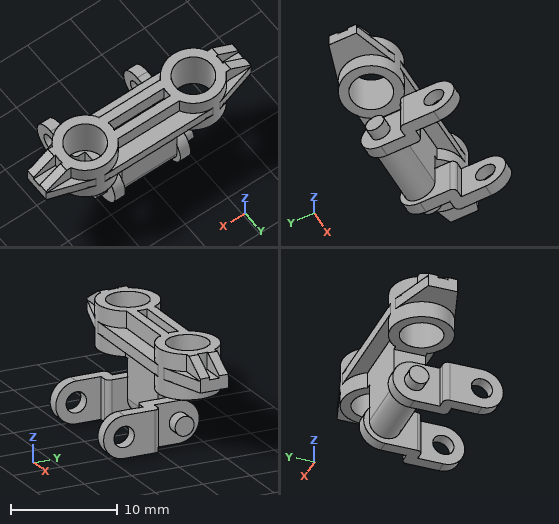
import cadquery as cq
import math


BOSS_X = 6.34
BOSS_RADIUS = 3.12
BORE_DIAMETER = 4.2
BOSS_BOTTOM = 6.25
TOP = 10.85

TIP_X = 12.0
FLANGE_BOTTOM = 7.95
FLANGE_TOP = 9.12
RIB_WIDTH = 2.98
TIP_TOP = 9.35
SLOPE_LENGTH = 2.4
GROOVE_WIDTH = 1.0
CENTER_SLOT_LENGTH = 6.62

POST_LENGTH = 6.43
POST_THICKNESS = 3.2

ARM_HEIGHT = 4.35
ARM_RADIUS = ARM_HEIGHT / 2
PIVOT_Z = ARM_RADIUS
TOTAL_DEPTH = 11.65
HOLE_Y = BOSS_RADIUS - TOTAL_DEPTH + ARM_RADIUS
HOLE_DIAMETER = 2.1
PIN_DIAMETER = 2.0
ARM_INNER_X = POST_LENGTH / 2
ARM_MIDDLE_X = 4.45
ARM_OUTER_X = 5.7
STEP_BACK_Y = -2.57
STEP_FRONT_Y = -3.77
STEP_ROUND = 0.53


def box(x_size, y_size, z_low, z_high):
    """Block centred in X and Y between two heights."""
    plane = cq.Workplane("XY").workplane(offset=z_low)
    return plane.rect(x_size, y_size).extrude(z_high - z_low)


def boss_cylinders(diameter):
    """Pair of upright cylinders at the boss positions."""
    plane = cq.Workplane("XY").workplane(offset=BOSS_BOTTOM)
    points = [(-BOSS_X, 0), (BOSS_X, 0)]
    return plane.pushPoints(points).circle(diameter / 2).extrude(TOP - BOSS_BOTTOM)


def flange():
    """Flat plate whose tapered ends are tangent to the bosses."""
    tip_dx = TIP_X - BOSS_X
    tip_y = RIB_WIDTH / 2
    tangent_angle = math.atan2(tip_y, tip_dx) + math.acos(BOSS_RADIUS / math.hypot(tip_dx, tip_y))
    tangent_x = BOSS_X + BOSS_RADIUS * math.cos(tangent_angle)
    tangent_y = BOSS_RADIUS * math.sin(tangent_angle)
    tapered = (
        cq.Workplane("XY").workplane(offset=FLANGE_BOTTOM)
        .polyline([
            (TIP_X, -tip_y), (TIP_X, tip_y), (tangent_x, tangent_y),
            (-tangent_x, tangent_y), (-TIP_X, tip_y), (-TIP_X, -tip_y),
            (-tangent_x, -tangent_y), (tangent_x, -tangent_y),
        ])
        .close().extrude(FLANGE_TOP - FLANGE_BOTTOM)
    )
    return tapered.union(box(2 * BOSS_X, 2 * BOSS_RADIUS, FLANGE_BOTTOM, FLANGE_TOP))


def top_rib():
    """Rib along X with sloped ends, grooved down to the flange."""
    slope_start = TIP_X - SLOPE_LENGTH
    rib = (
        cq.Workplane("XZ")
        .polyline([
            (-TIP_X, FLANGE_BOTTOM), (TIP_X, FLANGE_BOTTOM), (TIP_X, TIP_TOP),
            (slope_start, TOP), (-slope_start, TOP), (-TIP_X, TIP_TOP),
        ])
        .close().extrude(RIB_WIDTH / 2, both=True)
    )
    return rib.cut(box(2 * TIP_X, GROOVE_WIDTH, FLANGE_TOP, TOP))


def post():
    """Post below the flange, rounded about the pivot axis."""
    block = box(POST_LENGTH, POST_THICKNESS, PIVOT_Z, FLANGE_TOP)
    return block.union(x_cylinder(POST_THICKNESS, -POST_LENGTH / 2, POST_LENGTH / 2, 0))


def x_cylinder(diameter, x_low, x_high, y):
    """Cylinder along X at pivot height."""
    plane = cq.Workplane("YZ", origin=(x_low, y, PIVOT_Z))
    return plane.circle(diameter / 2).extrude(x_high - x_low)


def right_arm():
    """Arm on the +X side: plan shape of the step trimmed to a rounded side outline."""
    back_y = ARM_RADIUS
    front_y = HOLE_Y - ARM_RADIUS
    plan = (
        cq.Workplane("XY")
        .moveTo(ARM_INNER_X, back_y)
        .lineTo(ARM_MIDDLE_X, back_y)
        .lineTo(ARM_MIDDLE_X, STEP_BACK_Y)
        .lineTo(ARM_OUTER_X - STEP_ROUND, STEP_BACK_Y)
        .radiusArc((ARM_OUTER_X, STEP_BACK_Y - STEP_ROUND), STEP_ROUND)
        .lineTo(ARM_OUTER_X, front_y)
        .lineTo(ARM_MIDDLE_X, front_y)
        .lineTo(ARM_MIDDLE_X, STEP_FRONT_Y)
        .lineTo(ARM_INNER_X + STEP_ROUND, STEP_FRONT_Y)
        .radiusArc((ARM_INNER_X, STEP_FRONT_Y + STEP_ROUND), STEP_ROUND)
        .close().extrude(ARM_HEIGHT)
    )
    outline = (
        cq.Workplane("YZ", origin=(0, HOLE_Y / 2, PIVOT_Z))
        .slot2D(back_y - front_y, ARM_HEIGHT).extrude(ARM_OUTER_X)
    )
    hole = x_cylinder(HOLE_DIAMETER, 0, ARM_OUTER_X, HOLE_Y)
    pin = x_cylinder(PIN_DIAMETER, ARM_INNER_X, ARM_OUTER_X, 0)
    return plan.intersect(outline).cut(hole).union(pin)


lower_web = box(2 * BOSS_X, POST_THICKNESS, BOSS_BOTTOM, FLANGE_TOP)
body = flange().union(top_rib()).union(lower_web)
body = body.union(boss_cylinders(2 * BOSS_RADIUS))
slot_ends = box(2 * BOSS_X, RIB_WIDTH, FLANGE_TOP, TOP).cut(
    box(CENTER_SLOT_LENGTH, GROOVE_WIDTH, FLANGE_TOP, TOP)
)
body = body.union(slot_ends).cut(boss_cylinders(BORE_DIAMETER))

arm = right_arm()
result = body.union(post()).union(arm).union(arm.mirror("YZ"))